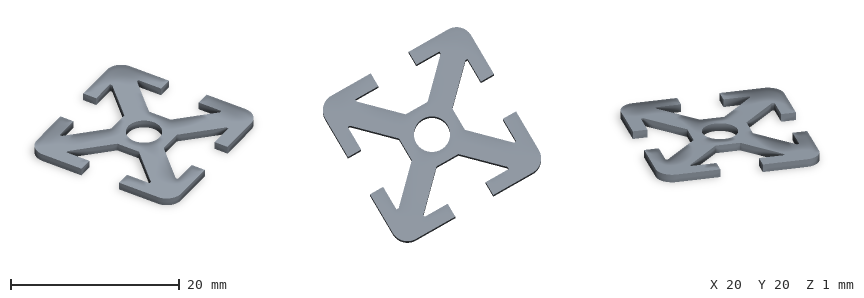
import cadquery as cq

side = 20.0
thickness = 1.0
corner_radius = 2.0
lip_thickness = 1.8
slot_opening = 5.2
hub_width = 7.28
hub_flat = 3.0
bore_diameter = 4.3
pocket_width = 11.52

half_side = side / 2
lip_inner = half_side - lip_thickness
half_opening = slot_opening / 2
half_hub = hub_width / 2
half_flat = hub_flat / 2
half_pocket = pocket_width / 2
flank_top = half_hub + half_pocket - half_flat


def t_slot():
    """Cutter for the slot that opens on the +Y side."""
    right_edge = [
        (half_flat, half_hub),
        (half_pocket, flank_top),
        (half_pocket, lip_inner),
        (half_opening, lip_inner),
        (half_opening, half_side),
    ]
    left_edge = [(-x, y) for x, y in reversed(right_edge)]
    return cq.Workplane("XY").polyline(right_edge + left_edge).close().extrude(thickness)


result = cq.Workplane("XY").rect(side, side).extrude(thickness)
result = result.edges("|Z").fillet(corner_radius)

for angle in (0, 90, 180, 270):
    result = result.cut(t_slot().rotate((0, 0, 0), (0, 0, 1), angle))

bore = cq.Workplane("XY").circle(bore_diameter / 2).extrude(thickness)
result = result.cut(bore)